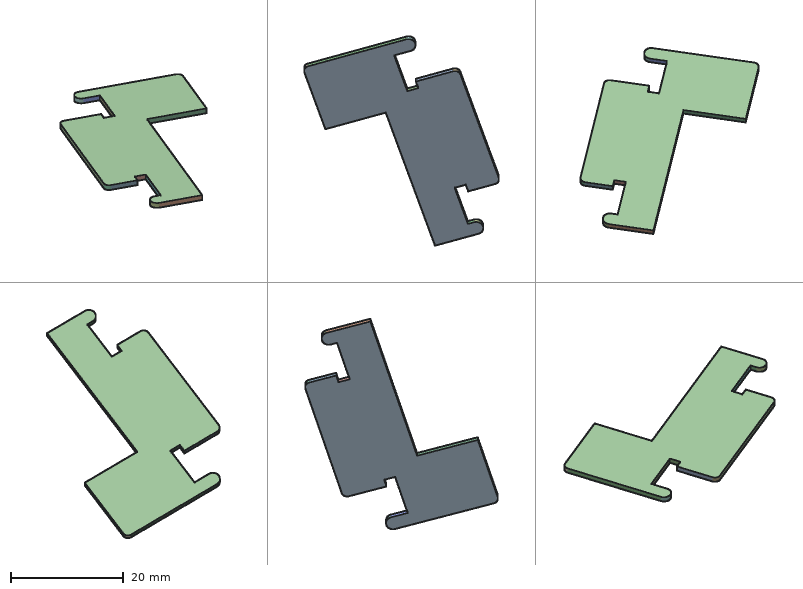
import cadquery as cq

length = 42.0
depth = 26.2
thickness = 1.0
corner_radius = 1.0

block_width = 13.27
step_y = 15.0

arm_width = 2.5
arm_tip_y = 5.65
arm_radius = arm_width / 2
arm_center_y = arm_tip_y + arm_radius

tab_left = 8.78
tab_right = 33.15
undercut = 1.43
left_shoulder_y = 8.0
left_notch_top = 10.0
right_shoulder_y = 6.0
right_notch_top = 8.05

neck_left = tab_left + undercut
neck_right = tab_right - undercut
right_arm_inner = length - arm_width

outline = (
    cq.Workplane("XY")
    .moveTo(tab_left, 0)
    .lineTo(tab_right, 0)
    .lineTo(tab_right, right_shoulder_y)
    .lineTo(neck_right, right_shoulder_y)
    .lineTo(neck_right, right_notch_top)
    .lineTo(right_arm_inner, right_notch_top)
    .lineTo(right_arm_inner, arm_center_y)
    .threePointArc((length - arm_radius, arm_tip_y), (length, arm_center_y))
    .lineTo(length, step_y)
    .lineTo(block_width, step_y)
    .lineTo(block_width, depth)
    .lineTo(0, depth)
    .lineTo(0, arm_center_y)
    .threePointArc((arm_radius, arm_tip_y), (arm_width, arm_center_y))
    .lineTo(arm_width, left_notch_top)
    .lineTo(neck_left, left_notch_top)
    .lineTo(neck_left, left_shoulder_y)
    .lineTo(tab_left, left_shoulder_y)
    .close()
)
plate = outline.extrude(thickness)

tab_corners = plate.edges("|Z").edges("<Y")
plate = tab_corners.fillet(corner_radius)
block_corner = plate.faces(">Y").edges("|Z").edges("<X")
result = block_corner.fillet(corner_radius)